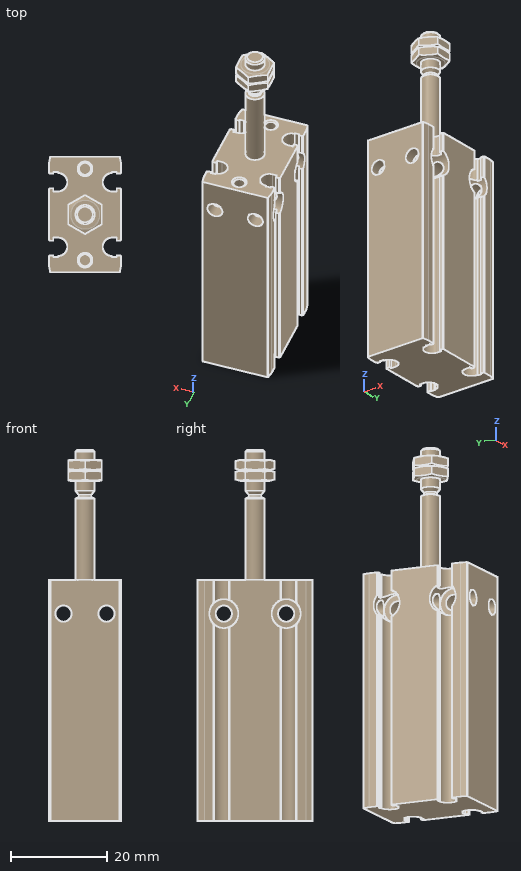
import cadquery as cq
import math

total_height = 77.0
housing_width = 15.0
housing_depth = 24.0
housing_height = 50.05

taper_length = 1.5
taper_inset = 0.2
corner_chamfer = 0.15

channel_offset = 6.7
channel_diameter = 3.8
channel_bottom = 3.7
mouth_inner_edge = 5.5
mouth_outer_edge = 8.5
mouth_chamfer = 0.2
lip_thickness = 0.9
outer_relief_edge = 8.8

mount_hole_diameter = 3.3
mount_hole_drop = 7.0
side_hole_offset = 6.5
side_bore_diameter = 6.0
side_bore_depth = 5.0
front_hole_offset = 4.5

top_hole_diameter = 2.5
top_hole_mouth = 3.1
top_hole_offset = 9.5
top_hole_depth = 5.4

rod_diameter = 4.0
rod_insertion = 10.0
tip_diameter = 3.2
tip_chamfer_height = 0.4
neck_diameter = 2.7
groove_start = 8.5
neck_start = 9.3
neck_end = 9.8
groove_end = 10.1

nut_across_flats = 7.0
nut_thickness = 2.2
nut_face_diameter = 6.0
nut_corner_drop = 0.3
nut_count = 2
nut_stack_drop = 2.0


def housing_block():
    half_width = housing_width / 2
    half_depth = housing_depth / 2
    taper_width = half_width - taper_inset
    quarter = [
        (half_width, half_depth - taper_length),
        (taper_width, half_depth - corner_chamfer),
        (taper_width - corner_chamfer, half_depth),
    ]
    back_left = [(-x, y) for x, y in reversed(quarter)]
    front_half = [(-x, -y) for x, y in quarter + back_left]
    return cq.Workplane("XY").polyline(quarter + back_left + front_half).close().extrude(housing_height)


def switch_slot():
    """Cutter for the slot in the +X, +Y quarter, running the full height."""
    face = housing_width / 2
    lip_back = face - lip_thickness
    radius = channel_diameter / 2
    arc_center = channel_bottom + radius
    return (
        cq.Workplane("XY")
        .moveTo(face, mouth_inner_edge - mouth_chamfer)
        .lineTo(face - mouth_chamfer, mouth_inner_edge)
        .lineTo(lip_back, mouth_inner_edge)
        .lineTo(lip_back, channel_offset - radius)
        .lineTo(arc_center, channel_offset - radius)
        .threePointArc((channel_bottom, channel_offset), (arc_center, channel_offset + radius))
        .lineTo(arc_center, outer_relief_edge)
        .lineTo(lip_back, outer_relief_edge)
        .lineTo(lip_back, mouth_outer_edge)
        .lineTo(face - mouth_chamfer, mouth_outer_edge)
        .lineTo(face, mouth_outer_edge + mouth_chamfer)
        .close()
        .extrude(housing_height)
    )


def side_mount_hole(y):
    """Through hole along X with a counterbore at each end."""
    level = housing_height - mount_hole_drop
    start = cq.Workplane("YZ", origin=(-housing_width / 2, y, level))
    hole = start.circle(mount_hole_diameter / 2).extrude(housing_width)
    near_bore = start.circle(side_bore_diameter / 2).extrude(side_bore_depth)
    return hole.union(near_bore).union(near_bore.mirror("YZ"))


def front_mount_hole(x):
    """Plain through hole along Y."""
    level = housing_height - mount_hole_drop
    start = cq.Workplane("XZ", origin=(x, housing_depth / 2, level))
    return start.circle(mount_hole_diameter / 2).extrude(housing_depth)


def top_hole(y):
    """Blind hole with a 45 degree countersunk mouth."""
    mouth_depth = (top_hole_mouth - top_hole_diameter) / 2
    profile = [
        (0, 0),
        (top_hole_mouth / 2, 0),
        (top_hole_diameter / 2, -mouth_depth),
        (top_hole_diameter / 2, -top_hole_depth),
        (0, -top_hole_depth),
    ]
    cutter = cq.Workplane("XZ").polyline(profile).close().revolve(360, (0, 0, 0), (0, 1, 0))
    return cutter.translate((0, y, housing_height))


def make_housing():
    housing = housing_block()
    slot = switch_slot()
    slot_pair = slot.union(slot.mirror("YZ"))
    housing = housing.cut(slot_pair).cut(slot_pair.mirror("XZ"))
    for side in (-1, 1):
        housing = housing.cut(side_mount_hole(side * side_hole_offset))
        housing = housing.cut(front_mount_hole(side * front_hole_offset))
        housing = housing.cut(top_hole(side * top_hole_offset))
    rod_hole = (
        cq.Workplane("XY", origin=(0, 0, housing_height - rod_insertion))
        .circle(rod_diameter / 2)
        .extrude(rod_insertion)
    )
    return housing.cut(rod_hole)


def make_rod():
    rod_radius = rod_diameter / 2
    neck_radius = neck_diameter / 2
    rod_bottom = housing_height - rod_insertion
    profile = [
        (0, rod_bottom),
        (rod_radius, rod_bottom),
        (rod_radius, total_height - groove_end),
        (neck_radius, total_height - neck_end),
        (neck_radius, total_height - neck_start),
        (rod_radius, total_height - groove_start),
        (rod_radius, total_height - tip_chamfer_height),
        (tip_diameter / 2, total_height),
        (0, total_height),
    ]
    return cq.Workplane("XZ").polyline(profile).close().revolve(360, (0, 0, 0), (0, 1, 0))


def make_nut(bottom):
    """Hexagon nut, corners along Y, with both faces chamfered to a circle."""
    corner_radius = nut_across_flats / 2 / math.cos(math.radians(30))
    face_radius = nut_face_diameter / 2
    hexagon = (
        cq.Workplane("XY")
        .polygon(6, 2 * corner_radius)
        .extrude(nut_thickness)
        .rotate((0, 0, 0), (0, 0, 1), 90)
    )
    envelope_profile = [
        (0, 0),
        (face_radius, 0),
        (corner_radius, nut_corner_drop),
        (corner_radius, nut_thickness - nut_corner_drop),
        (face_radius, nut_thickness),
        (0, nut_thickness),
    ]
    envelope = cq.Workplane("XZ").polyline(envelope_profile).close().revolve(360, (0, 0, 0), (0, 1, 0))
    bore = cq.Workplane("XY").circle(rod_diameter / 2).extrude(nut_thickness)
    return hexagon.intersect(envelope).cut(bore).translate((0, 0, bottom))


housing = make_housing()
rod = make_rod()
nut_stack_top = total_height - nut_stack_drop
nuts = [make_nut(nut_stack_top - (i + 1) * nut_thickness) for i in range(nut_count)]

result = cq.Compound.makeCompound([housing.val(), rod.val(), *[nut.val() for nut in nuts]])